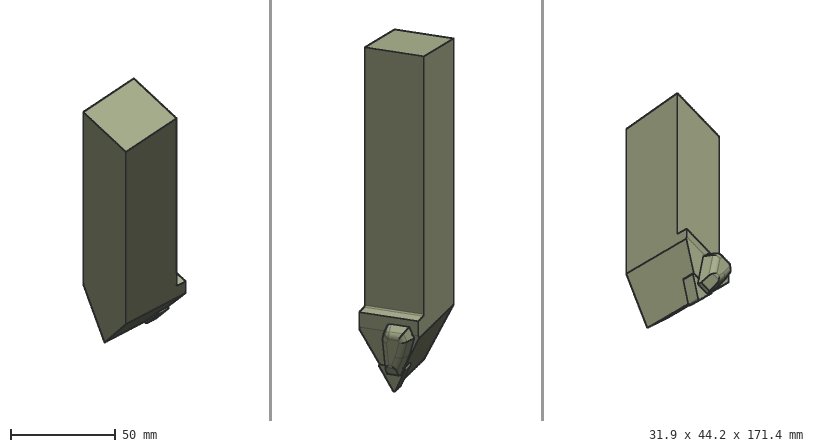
import cadquery as cq
import math

shank_size = 31.9
total_height = 171.4
head_depth = 37.7
tilt_angle = 10.0

shoulder_inner_z = 40.8
shoulder_outer_z = 39.4
shoulder_fillet = 0.9

tip_y = 32.0
point_v = 1.5
point_height = 29.5
cut_reach = 68.5

insert_thickness = 6.2
insert_height = 14.4
insert_half_width = 7.5
insert_corner_radius = 0.7

clamp_thickness = 6.7
clamp_draft = 20.0
clamp_edge_radius = 3.3
clamp_corner_radius = 2.5
clamp_nose_run = 7.5
clamp_nose_drop = 5.5
clamp_bottom_v = 9.5
clamp_outline = [
    (-11.3, 36.7),
    (-13.5, 30.8),
    (-10.1, 21.2),
    (-4.5, clamp_bottom_v),
    (2.7, clamp_bottom_v),
    (3.0, 30.8),
    (0.0, 36.7),
]

tilt = math.radians(tilt_angle)
half_width = shank_size / 2

rake_plane = cq.Plane(
    origin=(0, tip_y, 0),
    xDir=(1, 0, 0),
    normal=(0, -math.cos(tilt), math.sin(tilt)),
)


def make_insert():
    """Triangle whose rounded lower corner just reaches Z = 0."""
    half_angle = math.atan2(insert_half_width, insert_height)
    sharp_tip_v = insert_corner_radius * (1 - 1 / math.sin(half_angle))
    return (
        cq.Workplane(rake_plane)
        .polyline([
            (0, sharp_tip_v),
            (insert_half_width, sharp_tip_v + insert_height),
            (-insert_half_width, sharp_tip_v + insert_height),
        ])
        .close()
        .extrude(insert_thickness)
        .edges(cq.selectors.ParallelDirSelector(rake_plane.zDir))
        .fillet(insert_corner_radius)
    )


def make_shank():
    """Side profile of the shank and head, trimmed to the pointed nose."""
    rake_top_z = (head_depth - tip_y) / math.tan(tilt)
    profile = (
        cq.Workplane("YZ")
        .polyline([
            (0, 0),
            (tip_y, 0),
            (head_depth, rake_top_z),
            (head_depth, shoulder_outer_z),
            (shank_size, shoulder_inner_z),
            (shank_size, total_height),
            (0, total_height),
        ])
        .close()
        .extrude(half_width, both=True)
    )
    corner = cq.selectors.NearestToPointSelector((0, shank_size, shoulder_inner_z))
    profile = profile.edges("|X").edges(corner).fillet(shoulder_fillet)
    shoulder_v = point_v + point_height
    top_v = total_height + cut_reach
    nose = (
        cq.Workplane(rake_plane)
        .workplane(offset=-cut_reach)
        .polyline([
            (0, point_v),
            (half_width, shoulder_v),
            (half_width, top_v),
            (-half_width, top_v),
            (-half_width, shoulder_v),
        ])
        .close()
        .extrude(3 * cut_reach)
    )
    return profile.intersect(nose)


def make_clamp():
    """Drafted lug standing on the rake face, with a beveled lower nose."""
    lug = (
        cq.Workplane(rake_plane)
        .polyline(clamp_outline)
        .close()
        .extrude(-clamp_thickness, taper=clamp_draft)
    )
    upper_corner = cq.selectors.NearestToPointSelector(
        rake_plane.toWorldCoords((*clamp_outline[-1], -clamp_thickness / 2)).toTuple()
    )
    lug = lug.edges(upper_corner).fillet(clamp_corner_radius)
    bevel_plane = cq.Plane(origin=rake_plane.origin, xDir=rake_plane.yDir, normal=(-1, 0, 0))
    nose_low = clamp_thickness - clamp_nose_drop
    bevel = (
        cq.Workplane(bevel_plane)
        .polyline([
            (clamp_bottom_v, nose_low),
            (clamp_bottom_v + clamp_nose_run, clamp_thickness),
            (clamp_bottom_v, clamp_thickness),
        ])
        .close()
        .extrude(half_width, both=True)
    )
    outer_face = cq.selectors.DirectionMinMaxSelector(-rake_plane.zDir)
    return lug.cut(bevel).faces(outer_face).edges().fillet(clamp_edge_radius)


insert = make_insert()
holder = make_shank().union(make_clamp()).cut(insert)

result = cq.Compound.makeCompound([holder.val(), insert.val()])